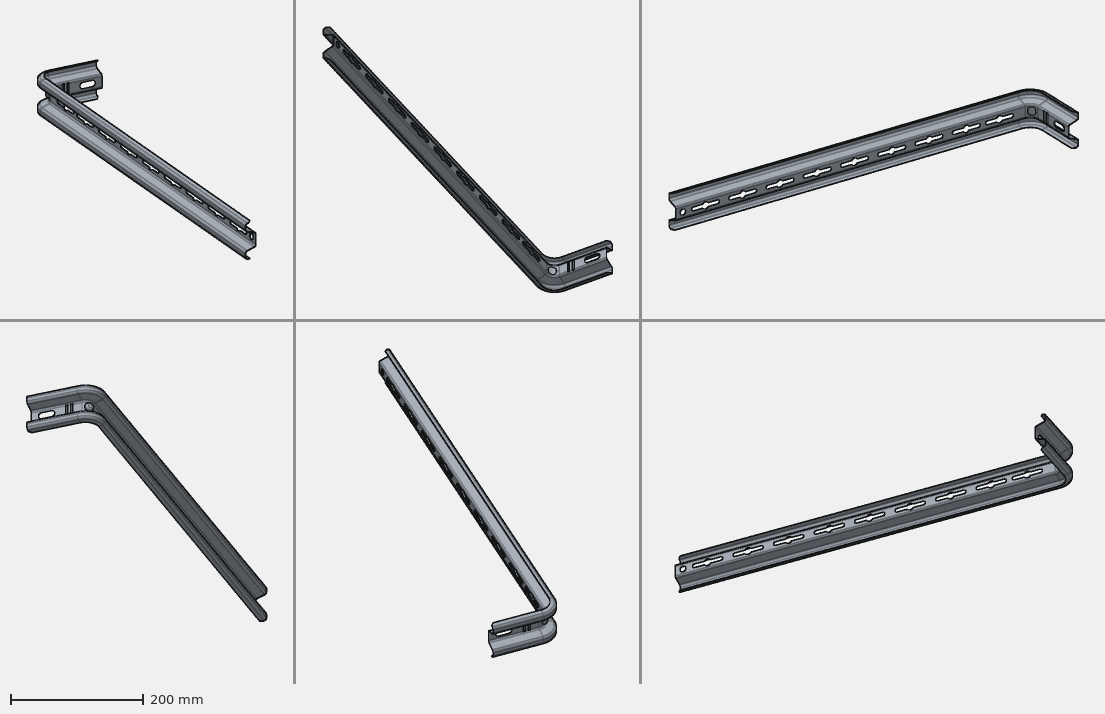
import cadquery as cq
import math


length = 674.0
reach = 115.0
height = 63.43
depth = 19.0
sheet = 1.25
bend_radius = 32.0

half_height = height / 2
lip_depth = 10.0
lip_chamfer = 4.0
front_slope = math.radians(15)
flank_slope = math.radians(18)
flank_start = 16.2
head_radius = 5.0
web_radius = 2.5
web_depth = depth - sheet

slot_length = 51.0
slot_width = 6.5
slot_hole = 12.0
first_slot_x = 79.2
second_slot_x = 140.1
slot_pitch = 68.45
pitched_slots = 8
end_hole_x = 660.8
end_hole = 10.0

short_slot_y = 90.0
short_slot_length = 26.5
short_slot_width = 10.5
groove_places = (48.3, 56.4)
groove_width = 4.0
groove_depth = 0.8
groove_height = 19.0

boss_radius = 7.0
boss_round = 4.0
boss_tip = 18.5


def offset_corners(corners, distance):
    """Corners of the open polyline moved sideways, to the right of its direction."""
    normals = []
    for (x0, y0), (x1, y1) in zip(corners, corners[1:]):
        run = math.hypot(x1 - x0, y1 - y0)
        normals.append(((y1 - y0) / run, (x0 - x1) / run))
    before = normals[:1] + normals
    after = normals + normals[-1:]
    moved = []
    for (x, y), (ax, ay), (bx, by) in zip(corners, before, after):
        stretch = distance / (1 + ax * bx + ay * by)
        moved.append((x + stretch * (ax + bx), y + stretch * (ay + by)))
    return moved


def add_rounded_line(wire, corners, radii):
    """Continue a wire through the inner corners, rounding each one by its radius."""
    for before, corner, after, radius in zip(corners, corners[1:], corners[2:], radii):
        tip = cq.Vector(*corner)
        back = (cq.Vector(*before) - tip).normalized()
        ahead = (cq.Vector(*after) - tip).normalized()
        half_angle = back.getAngle(ahead) / 2
        cut = radius / math.tan(half_angle)
        start = tip + back * cut
        end = tip + ahead * cut
        middle = tip + (back + ahead).normalized() * (radius / math.sin(half_angle) - radius)
        wire = wire.lineTo(start.x, start.y).threePointArc((middle.x, middle.y), (end.x, end.y))
    return wire.lineTo(*corners[-1])


def rail_section(plane):
    """Closed sheet section; the plane's first axis is depth and its second is Z."""
    upper = [
        (lip_depth, half_height),
        (0, half_height - lip_depth * math.tan(front_slope)),
        (0, flank_start),
        (web_depth, flank_start - web_depth * math.tan(flank_slope)),
    ]
    outside = upper + [(d, -z) for d, z in reversed(upper)]
    inside = offset_corners(outside, -sheet)
    inner_radius = head_radius - sheet
    outside_radii = [head_radius, head_radius, web_radius]
    inside_radii = [inner_radius, inner_radius, web_radius + sheet]
    wire = cq.Workplane(plane).moveTo(*outside[0])
    wire = add_rounded_line(wire, outside, outside_radii + outside_radii[::-1])
    inside = inside[::-1]
    wire = wire.lineTo(*inside[0])
    wire = add_rounded_line(wire, inside, inside_radii + inside_radii[::-1])
    return wire.close()


def bent_rail():
    long_plane = cq.Plane(origin=(bend_radius, 0, 0), xDir=(0, 1, 0), normal=(1, 0, 0))
    short_plane = cq.Plane(origin=(0, bend_radius, 0), xDir=(1, 0, 0), normal=(0, -1, 0))
    long_arm = rail_section(long_plane).extrude(length - bend_radius)
    short_arm = rail_section(short_plane).extrude(bend_radius - reach)
    corner = rail_section(short_plane).revolve(90, (bend_radius, 0, 0), (bend_radius, 1, 0))
    return long_arm.union(corner).union(short_arm)


def lip_corner_cutter(end):
    """Chamfers both lips at the end of an arm that runs along X, with depth along Y."""
    overrun = sheet
    upper = (
        cq.Workplane("XY")
        .polyline([
            (end - lip_chamfer - overrun, lip_depth + overrun),
            (end, lip_depth + overrun),
            (end, lip_depth - lip_chamfer),
        ])
        .close()
        .extrude(half_height)
        .translate((0, 0, half_height - head_radius))
    )
    return upper.union(upper.mirror("XY"))


def corner_boss():
    diagonal = cq.Plane(origin=(boss_tip, boss_tip, 0), xDir=(0, 0, 1), normal=(1, 1, 0))
    web_bend = bend_radius - web_depth
    web_front = bend_radius - web_bend / math.sqrt(2)
    boss_length = (web_front - boss_tip) * math.sqrt(2) + sheet
    boss = cq.Workplane(diagonal).circle(boss_radius).extrude(boss_length)
    boss = boss.edges(cq.selectors.NearestToPointSelector((boss_tip, boss_tip, 0))).fillet(boss_round)
    behind_web = (
        cq.Workplane("XY")
        .center(bend_radius, bend_radius)
        .circle(web_bend - sheet)
        .extrude(boss_radius, both=True)
    )
    return boss.cut(behind_web)


def long_web_openings():
    """Row of slots, each widened by a round hole at its middle, and one hole near the end."""
    slots = [(first_slot_x, 0)]
    slots += [(second_slot_x + i * slot_pitch, 0) for i in range(pitched_slots)]
    cutter_length = 3 * sheet
    base = cq.Workplane("XZ").workplane(offset=sheet - web_depth - cutter_length)
    openings = base.pushPoints(slots).slot2D(slot_length, slot_width).extrude(cutter_length)
    openings = openings.union(base.pushPoints(slots).circle(slot_hole / 2).extrude(cutter_length))
    return openings.union(base.center(end_hole_x, 0).circle(end_hole / 2).extrude(cutter_length))


def short_web_opening():
    return (
        cq.Workplane("YZ")
        .workplane(offset=web_depth - sheet)
        .center(short_slot_y, 0)
        .slot2D(short_slot_length, short_slot_width)
        .extrude(3 * sheet)
    )


def groove_cutter(y):
    """Shallow V groove across the front of the short web."""
    return (
        cq.Workplane("XY")
        .polyline([
            (web_depth, y - groove_width / 2),
            (web_depth + groove_depth, y),
            (web_depth, y + groove_width / 2),
        ])
        .close()
        .extrude(groove_height / 2, both=True)
    )


short_lip_cutter = lip_corner_cutter(reach).mirror(cq.Vector(1, -1, 0))

result = bent_rail().union(corner_boss())
result = result.cut(lip_corner_cutter(length)).cut(short_lip_cutter)
result = result.cut(long_web_openings()).cut(short_web_opening())
for groove_y in groove_places:
    result = result.cut(groove_cutter(groove_y))